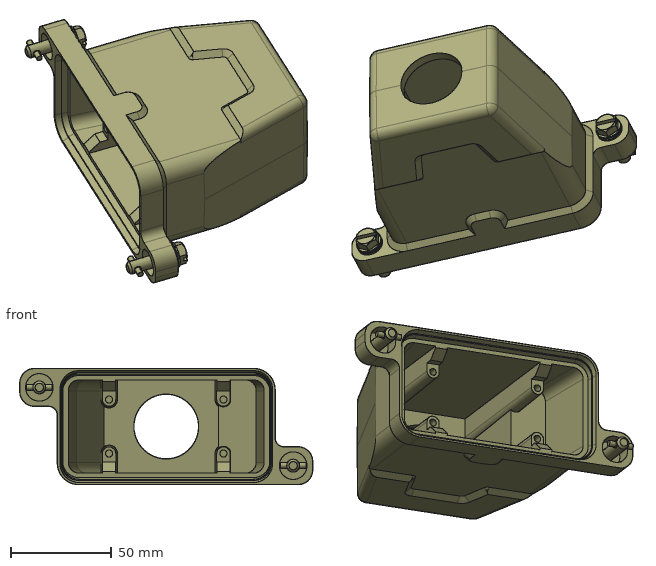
import cadquery as cq
import math

LENGTH = 146.0
HEIGHT = 58.0
HALF_LENGTH = LENGTH / 2
HALF_HEIGHT = HEIGHT / 2
HOOD_END = 101.0

FLANGE_DEPTH = 12.3
FLANGE_HALF_WIDTH = 54.3
FLANGE_RADIUS = 10.8
LUG_HEIGHT = 19.0
LUG_RADIUS = 7.5
LUG_INNER_RADIUS = 4.2
LUG_EDGE = HALF_HEIGHT - LUG_HEIGHT

BODY_HALF_WIDTH = 51.4
BODY_HALF_HEIGHT = 26.3
BODY_RADIUS = 8.3
FLARE = FLANGE_HALF_WIDTH - BODY_HALF_WIDTH
FLARE_ANGLE = 45.0
SHOULDER_Y = 36.0
HOOD_END_HALF_WIDTH = 32.8
SIDE_SLOPE = (BODY_HALF_WIDTH - HOOD_END_HALF_WIDTH) / (HOOD_END - SHOULDER_Y)
HOOD_DRAFT = 0.5
HOOD_CORNER_FILLET = 5.0
HOOD_FILLET = 4.5
STEP_HEIGHT = HALF_HEIGHT - BODY_HALF_HEIGHT
STEP_FLANK = 49.0
STEP_Y = 58.5
NOTCH_Y = 76.0
NOTCH_TOP_HALF_WIDTH = 14.2
NOTCH_BASE_HALF_WIDTH = 19.1
NOTCH_RADIUS = 2.2

PAD_HALF_WIDTH = 10.4
PAD_END = 25.0
PAD_RADIUS = 6.5
PAD_FLANK = 45.0
PAD_START = FLANGE_DEPTH / 2

LEDGE_Y = 6.4
MOUTH_STEP_Y = 3.2
MOUTH_BANDS = (
    ((0.0, 53.0, 27.9, 9.6), (MOUTH_STEP_Y, 52.4, 26.9, 8.9)),
    ((MOUTH_STEP_Y, 52.0, 26.3, 8.5), (LEDGE_Y, 51.5, 25.4, 7.9)),
)
CAVITY_HALF_WIDTH = 48.8
CAVITY_HALF_HEIGHT = 23.2
CAVITY_SHOULDER_HALF_WIDTH = 44.8
CAVITY_SHOULDER_Y = 42.3
CAVITY_END = 96.0
CAVITY_END_LEFT = -31.1
CAVITY_END_RIGHT = 26.0
CAVITY_RADIUS = 5.4
SHELF_Y = 43.8
CABLE_HOLE_RADIUS = 16.0

POST_X = 28.5
POST_Z = 13.5
POST_RADIUS = 3.2
POST_DRAFT = 0.6
POST_FACE_Y = 16.8
POST_STEP_Z = 17.7
POST_RAMP_Y = 12.4
POST_RAMP_END_Z = 22.3
POST_HOLE_RADIUS = 1.8
POST_HOLE_DEPTH = 11.7

BOLT_X = 63.2
BOLT_Z = HALF_HEIGHT - LUG_HEIGHT / 2
BOLT_RADIUS = 3.2
BOLT_TIP_Y = -11.0
BOLT_TIP_CHAMFER = 1.2
LUG_BORE_RADIUS = 6.9
LUG_BORE_DEPTH = 9.3
WASHER_RADIUS = 6.4
WASHER_THICKNESS = 0.9
SPACER_RADIUS = 5.1
HEAD_ACROSS_FLATS = 10.2
HEAD_HEIGHT = 4.5
HEAD_CHAMFER = 1.0
SLOT_WIDTH = 1.9
SLOT_DEPTH = 2.0
CROSS_PIN_Y = -6.7
CROSS_PIN_RADIUS = 1.5
CROSS_PIN_HALF_LENGTH = 6.4
CROSS_PIN_RELIEF_RADIUS = 1.9
CROSS_PIN_RELIEF_DEPTH = 0.7


def section_plane(y):
    """XZ plane at distance y whose extrusions run towards +Y (local x is -X)."""
    return cq.Plane(origin=(0, y, 0), xDir=(-1, 0, 0), normal=(0, 1, 0))


def rounded_rectangle(y, half_width, half_height, radius):
    return (cq.Workplane(section_plane(y))
            .sketch().rect(2 * half_width, 2 * half_height).vertices().fillet(radius).finalize())


def y_cylinder(radius, start, end, x=0.0, z=0.0):
    return cq.Workplane(section_plane(start)).center(-x, z).circle(radius).extrude(end - start)


def on_both_faces(shape):
    """Add the mirror image across the mid-plane Z = 0."""
    return shape.union(shape.mirror("XY"))


def edge_near(shape, x, y, z):
    return shape.edges(cq.selectors.NearestToPointSelector((x, y, z))).val()


def flange():
    corners = (
        (-HALF_LENGTH, HALF_HEIGHT, LUG_RADIUS),
        (FLANGE_HALF_WIDTH, HALF_HEIGHT, FLANGE_RADIUS),
        (FLANGE_HALF_WIDTH, -LUG_EDGE, LUG_INNER_RADIUS),
        (HALF_LENGTH, -LUG_EDGE, LUG_RADIUS),
        (HALF_LENGTH, -HALF_HEIGHT, LUG_RADIUS),
        (-FLANGE_HALF_WIDTH, -HALF_HEIGHT, FLANGE_RADIUS),
        (-FLANGE_HALF_WIDTH, LUG_EDGE, LUG_INNER_RADIUS),
        (-HALF_LENGTH, LUG_EDGE, LUG_RADIUS),
    )
    outline = [(-x, z) for x, z, radius in corners]
    plate = cq.Workplane(section_plane(0)).polyline(outline).close().extrude(FLANGE_DEPTH)
    for x, z, radius in corners:
        corner = cq.selectors.NearestToPointSelector((x, FLANGE_DEPTH / 2, z))
        plate = plate.edges("|Y").edges(corner).fillet(radius)
    return plate


def half_wedge():
    """Drafted wedge above the mid-plane, its leaning walls carried down to the mouth plane."""
    mouth_half_width = HOOD_END_HALF_WIDTH + SIDE_SLOPE * HOOD_END
    return (cq.Workplane("XY")
            .polyline([(-mouth_half_width, 0), (mouth_half_width, 0),
                       (HOOD_END_HALF_WIDTH, HOOD_END), (-HOOD_END_HALF_WIDTH, HOOD_END)])
            .close().extrude(HALF_HEIGHT, taper=HOOD_DRAFT))


def lower_hood():
    flare = (rounded_rectangle(FLANGE_DEPTH, FLANGE_HALF_WIDTH, HALF_HEIGHT, FLANGE_RADIUS)
             .extrude(FLARE, taper=FLARE_ANGLE))
    column = (rounded_rectangle(FLANGE_DEPTH, BODY_HALF_WIDTH, BODY_HALF_HEIGHT, BODY_RADIUS)
              .extrude(STEP_Y - FLANGE_DEPTH))
    return column.intersect(on_both_faces(half_wedge())).union(flare)


def step_recess():
    """Recess above the lower face, reaching into the upper hood as a trapezoid notch."""
    outline = (cq.Sketch()
               .polygon([(-HALF_LENGTH, 0), (HALF_LENGTH, 0),
                         (HALF_LENGTH, STEP_Y), (NOTCH_BASE_HALF_WIDTH, STEP_Y),
                         (NOTCH_TOP_HALF_WIDTH, NOTCH_Y), (-NOTCH_TOP_HALF_WIDTH, NOTCH_Y),
                         (-NOTCH_BASE_HALF_WIDTH, STEP_Y), (-HALF_LENGTH, STEP_Y),
                         (-HALF_LENGTH, 0)])
               .vertices(cq.selectors.BoxSelector((-HALF_LENGTH / 2, 1.5, -1.5),
                                                  (HALF_LENGTH / 2, HOOD_END, 1.5)))
               .fillet(NOTCH_RADIUS))
    recess = (cq.Workplane("XY", origin=(0, 0, BODY_HALF_HEIGHT))
              .placeSketch(outline).extrude(STEP_HEIGHT, taper=-STEP_FLANK))
    return on_both_faces(recess)


def upper_hood():
    end_corners = half_wedge().faces(">Y").edges("not |X").fillet(HOOD_CORNER_FILLET)
    upper = on_both_faces(end_corners.faces(">Z").edges("not <Y").fillet(HOOD_FILLET))
    below = cq.Workplane("XY").box(2 * LENGTH, 2 * STEP_Y, 2 * HEIGHT)
    return upper.cut(below).cut(step_recess())


def thumb_pads():
    outline = (cq.Sketch()
               .polygon([(-PAD_HALF_WIDTH, PAD_START), (PAD_HALF_WIDTH, PAD_START),
                         (PAD_HALF_WIDTH, PAD_END), (-PAD_HALF_WIDTH, PAD_END),
                         (-PAD_HALF_WIDTH, PAD_START)])
               .vertices(">Y").fillet(PAD_RADIUS))
    pad = (cq.Workplane("XY", origin=(0, 0, BODY_HALF_HEIGHT))
           .placeSketch(outline).extrude(STEP_HEIGHT, taper=PAD_FLANK))
    return on_both_faces(pad)


def section_wire(y, half_width, half_height, radius):
    return rounded_rectangle(y, half_width, half_height, radius).extrude(1.5).faces("<Y").wires().val()


def mouth():
    """Two tapering bands with a narrow step between them."""
    near, far = [cq.Workplane(cq.Solid.makeLoft([section_wire(*start), section_wire(*end)], True))
                 for start, end in MOUTH_BANDS]
    return near.union(far)


def cavity():
    """Hollow with leaning end walls and a shelf on its +X side."""
    outline = [(-CAVITY_HALF_WIDTH, LEDGE_Y), (CAVITY_HALF_WIDTH, LEDGE_Y),
               (CAVITY_SHOULDER_HALF_WIDTH, SHELF_Y), (CAVITY_END_RIGHT, SHELF_Y),
               (CAVITY_END_RIGHT, CAVITY_END), (CAVITY_END_LEFT, CAVITY_END),
               (-CAVITY_SHOULDER_HALF_WIDTH, CAVITY_SHOULDER_Y)]
    hollow = (cq.Workplane("XY", origin=(0, 0, -CAVITY_HALF_HEIGHT))
              .polyline(outline).close().extrude(2 * CAVITY_HALF_HEIGHT))
    shoulder_middle_x = (CAVITY_HALF_WIDTH + CAVITY_SHOULDER_HALF_WIDTH) / 2
    wall_middles = (
        (-shoulder_middle_x, (LEDGE_Y + CAVITY_SHOULDER_Y) / 2),
        (shoulder_middle_x, (LEDGE_Y + SHELF_Y) / 2),
        ((CAVITY_END_LEFT - CAVITY_SHOULDER_HALF_WIDTH) / 2, (CAVITY_SHOULDER_Y + CAVITY_END) / 2),
    )
    corners = []
    for x, y in wall_middles:
        for z in (-CAVITY_HALF_HEIGHT, CAVITY_HALF_HEIGHT):
            corners.append(edge_near(hollow, x, y, z))
    return hollow.newObject(corners).fillet(CAVITY_RADIUS)


def screw_post():
    """Drafted rib at +X, +Z, cut back to a screw face with a step and a ramp in front of it."""
    rib_end = (CAVITY_HALF_HEIGHT + BODY_HALF_HEIGHT) / 2
    rib = (cq.Workplane(section_plane(LEDGE_Y)).center(-POST_X, (POST_Z + rib_end) / 2)
           .slot2D(rib_end - POST_Z + 2 * POST_RADIUS, 2 * POST_RADIUS, 90)
           .extrude(CAVITY_END - LEDGE_Y + 1.5, taper=-POST_DRAFT))
    front = (cq.Workplane("YZ")
             .polyline([(0, 0), (POST_FACE_Y, 0), (POST_FACE_Y, POST_STEP_Z), (POST_RAMP_Y, POST_STEP_Z),
                        (LEDGE_Y, POST_RAMP_END_Z), (0, POST_RAMP_END_Z)])
             .close().extrude(2 * POST_X))
    hole = y_cylinder(POST_HOLE_RADIUS, POST_FACE_Y, POST_FACE_Y + POST_HOLE_DEPTH, POST_X, POST_Z)
    return rib.cut(front).cut(hole)


def lug_bores(x, z):
    """Wide bore from the mouth side and a bolt hole through the remaining plate."""
    bore = y_cylinder(LUG_BORE_RADIUS, 0, LUG_BORE_DEPTH, x, z)
    return bore.union(y_cylinder(BOLT_RADIUS, 0, FLANGE_DEPTH, x, z))


def make_housing():
    body = flange().union(lower_hood()).union(upper_hood()).union(thumb_pads())
    hollow = cavity()
    post = screw_post()
    for posts in (post, post.mirror("YZ")):
        hollow = hollow.cut(posts).cut(posts.mirror("XY"))
    body = body.cut(mouth()).cut(hollow)
    body = body.cut(y_cylinder(CABLE_HOLE_RADIUS, CAVITY_END - 1.5, HOOD_END + 1.5))
    for side in (-1, 1):
        body = body.cut(lug_bores(side * BOLT_X, -side * BOLT_Z))
    return body


def bolt_shaft():
    """Chamfered shaft with a cross pin standing in a shallow round relief on each side."""
    shaft = y_cylinder(BOLT_RADIUS, BOLT_TIP_Y, FLANGE_DEPTH).faces("<Y").chamfer(BOLT_TIP_CHAMFER)
    relief_start = BOLT_RADIUS - CROSS_PIN_RELIEF_DEPTH
    for side in (-1, 1):
        relief = (cq.Workplane("YZ", origin=(side * relief_start, CROSS_PIN_Y, 0))
                  .circle(CROSS_PIN_RELIEF_RADIUS).extrude(side * BOLT_RADIUS))
        shaft = shaft.cut(relief)
    cross_pin = (cq.Workplane("YZ", origin=(-CROSS_PIN_HALF_LENGTH, CROSS_PIN_Y, 0))
                 .circle(CROSS_PIN_RADIUS).extrude(2 * CROSS_PIN_HALF_LENGTH))
    return shaft.union(cross_pin)


def washer_stack(stack_end):
    """Two wide washers with a narrower spacer between them."""
    stack = y_cylinder(SPACER_RADIUS, FLANGE_DEPTH, stack_end)
    for start in (FLANGE_DEPTH, stack_end - WASHER_THICKNESS):
        stack = stack.union(y_cylinder(WASHER_RADIUS, start, start + WASHER_THICKNESS))
    return stack


def bolt_head(start):
    """Slotted hexagon head with a chamfered crown."""
    across_corners = HEAD_ACROSS_FLATS / math.cos(math.pi / 6)
    end = start + HEAD_HEIGHT
    hexagon = (cq.Workplane(section_plane(start)).transformed(rotate=(0, 0, 90))
               .polygon(6, across_corners).extrude(HEAD_HEIGHT))
    crown = y_cylinder(across_corners / 2, start, end).faces(">Y").chamfer(HEAD_CHAMFER)
    slot = (cq.Workplane("XY").box(2 * across_corners, SLOT_DEPTH, SLOT_WIDTH)
            .translate((0, end - SLOT_DEPTH / 2, 0)))
    return hexagon.intersect(crown).cut(slot)


def make_bolt(x, z):
    stack_end = FLANGE_DEPTH + 3 * WASHER_THICKNESS
    bolt = bolt_shaft().union(washer_stack(stack_end)).union(bolt_head(stack_end))
    return bolt.translate((x, 0, z))


housing = make_housing()
bolts = [make_bolt(side * BOLT_X, -side * BOLT_Z) for side in (-1, 1)]

result = cq.Compound.makeCompound([housing.val(), *[bolt.val() for bolt in bolts]])